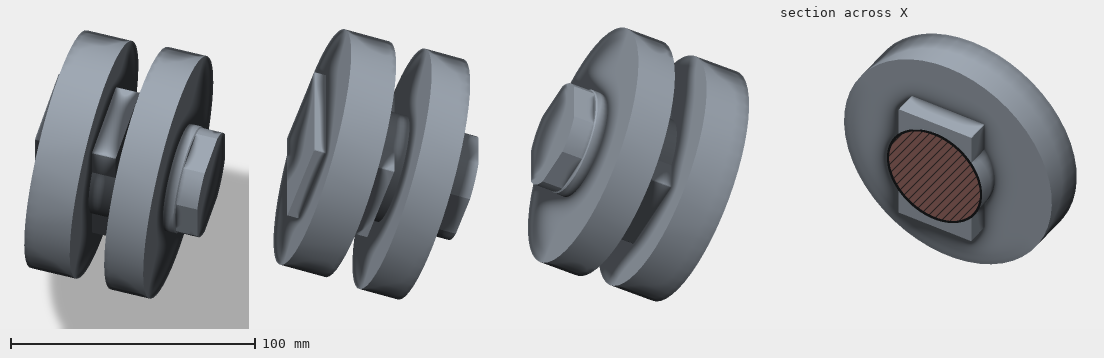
import cadquery as cq

overall_length = 70.0
wheel_start = 5.0
wheel_end = 24.4
block_end = 34.5
disc_start = 39.4
disc_end = 56.0
shaft_end = 61.0

wheel_diameter = 100.0
disc_diameter = 102.0
shaft_diameter = 45.0
shaft_chamfer = 0.5
block_width = 35.0
block_height = 55.0
block_corner_diameter = 64.9
square_width = 40.0
square_corner_diameter = shaft_diameter - 2 * shaft_chamfer


def section_plane(x):
    """Workplane facing +X at the given station, with its first axis along Z."""
    return cq.Workplane(cq.Plane(origin=(x, 0, 0), xDir=(0, 0, 1), normal=(1, 0, 0)))


def x_cylinder(diameter, start, end):
    """Cylinder about the X axis between two stations."""
    return section_plane(start).circle(diameter / 2).extrude(end - start)


def x_bar(width, height, corner_diameter, start, end):
    """Bar centred on the X axis: a rectangle whose corners are trimmed by a circle."""
    rectangle = section_plane(start).rect(height, width).extrude(end - start)
    return rectangle.intersect(x_cylinder(corner_diameter, start, end))


def make_block():
    """Rectangular block, barely trimmed at its corners, through the wheel and into the shaft."""
    return x_bar(block_width, block_height, block_corner_diameter, 0, block_end)


def make_wheel(block):
    """Smaller disc with a through hole that fits the block."""
    return x_cylinder(wheel_diameter, wheel_start, wheel_end).cut(block)


def make_shaft(block):
    """Round shaft slotted for the block, ending in a square drive with rounded corners."""
    barrel = x_cylinder(shaft_diameter, wheel_end, shaft_end).faces(">X").chamfer(shaft_chamfer)
    drive = x_bar(square_width, square_width, square_corner_diameter, shaft_end, overall_length)
    return barrel.union(drive).cut(block)


def make_disc():
    """Larger disc with a round bore that fits the shaft."""
    bore = x_cylinder(shaft_diameter, disc_start, disc_end)
    return x_cylinder(disc_diameter, disc_start, disc_end).cut(bore)


block = make_block()
wheel = make_wheel(block)
shaft = make_shaft(block)
disc = make_disc()

result = cq.Compound.makeCompound([block.val(), wheel.val(), shaft.val(), disc.val()])